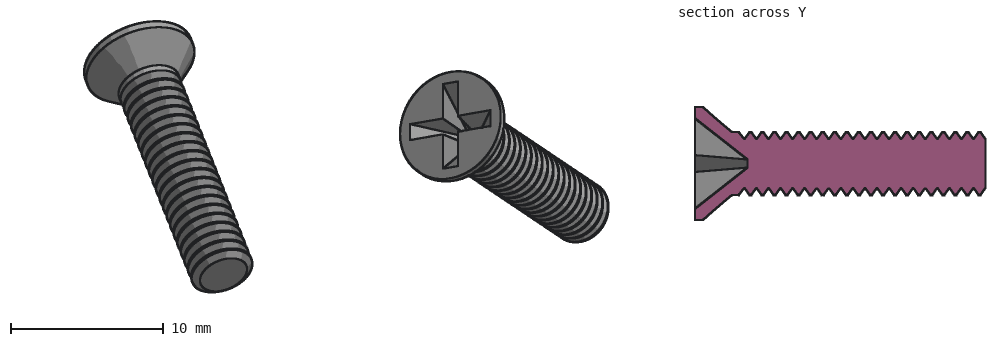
import cadquery as cq

LENGTH = 19.05
HEAD_RADIUS = 7.43 / 2
THREAD_RADIUS = 4.17 / 2

RIM_THICKNESS = 0.53
HEAD_LENGTH = 2.42
THREAD_START = 2.88

RIDGE_COUNT = 20
CREST_WIDTH = 0.13
ROOT_RADIUS = 1.62
RUNOUT_LENGTH = 0.36
FIRST_ROOT = THREAD_START + RUNOUT_LENGTH
PITCH = (LENGTH - FIRST_ROOT) / RIDGE_COUNT

RECESS_SPAN = 5.9
ARM_WIDTH = 1.1
RECESS_FLOOR = 0.53
RECESS_DEPTH = 3.43


def screw_body():
    """Revolve the half profile of head, neck and ridges about the X axis."""
    profile = [
        (0, 0),
        (0, HEAD_RADIUS),
        (RIM_THICKNESS, HEAD_RADIUS),
        (HEAD_LENGTH, THREAD_RADIUS),
        (THREAD_START, THREAD_RADIUS),
        (FIRST_ROOT, ROOT_RADIUS),
    ]
    for ridge in range(RIDGE_COUNT):
        crest = FIRST_ROOT + (ridge + 0.5) * PITCH
        profile.append((crest - CREST_WIDTH / 2, THREAD_RADIUS))
        profile.append((crest + CREST_WIDTH / 2, THREAD_RADIUS))
        profile.append((crest + PITCH / 2, ROOT_RADIUS))
    profile.append((LENGTH, 0))
    return cq.Workplane("XY").polyline(profile).close().revolve(360, (0, 0, 0), (1, 0, 0))


def recess_arm(size_y, size_z):
    """Taper a rectangle in the head face down to the small square floor."""
    return (
        cq.Workplane("YZ")
        .rect(size_y, size_z)
        .workplane(offset=RECESS_DEPTH)
        .rect(RECESS_FLOOR, RECESS_FLOOR)
        .loft(ruled=True)
    )


result = (
    screw_body()
    .cut(recess_arm(RECESS_SPAN, ARM_WIDTH))
    .cut(recess_arm(ARM_WIDTH, RECESS_SPAN))
)